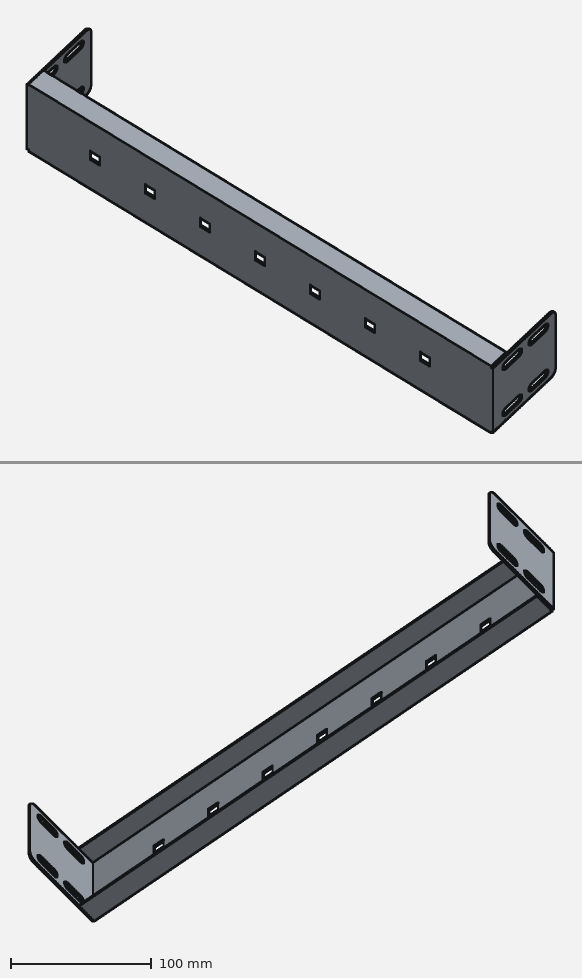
import cadquery as cq

length = 425.0
depth = 71.5
height = 73.0
thickness = 1.5

flange_depth = 17.0
end_plate_height = height - 2 * thickness
end_corner_radius = 6.0

square_count = 7
square_pitch = 50.0
square_size = 9.0

slot_length = 22.0
slot_width = 7.5
slot_pitch_y = 29.8
slot_pitch_z = 50.0
slot_centre_y = 37.0

inner_length = length - 2 * thickness


def centred_box(size_x, size_y, size_z):
    """Box centred on X and Z that runs back from the front face."""
    return cq.Workplane("XY").box(size_x, size_y, size_z, centered=(True, False, True))


def make_channel():
    """Front web with a flange folded back along its top and bottom edges."""
    outer = centred_box(inner_length, flange_depth, height)
    inside = centred_box(inner_length, flange_depth, height - 2 * thickness)
    return outer.cut(inside.translate((0, thickness, 0)))


def make_end_plates():
    """Both end plates, with rounded rear corners and four slots each."""
    plates = centred_box(length, depth, end_plate_height).edges("|X and >Y").fillet(end_corner_radius)
    plates = plates.cut(centred_box(inner_length, depth, height))
    slots = (
        cq.Workplane("YZ")
        .center(slot_centre_y, 0)
        .rarray(slot_pitch_y, slot_pitch_z, 2, 2)
        .slot2D(slot_length, slot_width)
        .extrude(length / 2, both=True)
    )
    return plates.cut(slots)


def make_square_holes():
    """Row of square cutters through the web."""
    return (
        cq.Workplane("XZ")
        .rarray(square_pitch, 4.2, square_count, 1)
        .rect(square_size, square_size)
        .extrude(-flange_depth)
    )


result = make_channel().union(make_end_plates()).cut(make_square_holes())